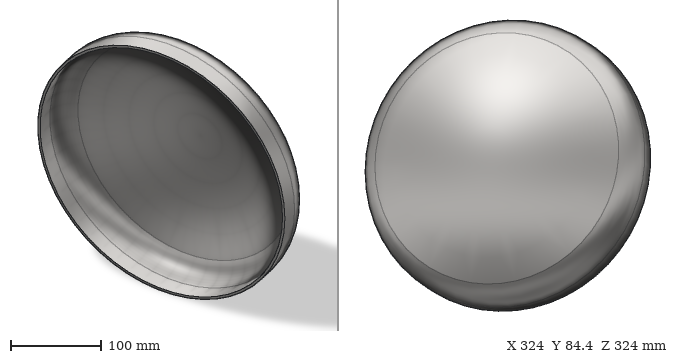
import cadquery as cq
import math

outer_diameter = 324.0
inner_diameter = 317.7
skirt_height = 20.0
crown_inner_radius = outer_diameter
knuckle_inner_radius = 0.1 * outer_diameter

outer_radius = outer_diameter / 2
inner_radius = inner_diameter / 2
wall = outer_radius - inner_radius

knuckle_center_x = inner_radius - knuckle_inner_radius
center_distance = crown_inner_radius - knuckle_inner_radius
crown_half_angle = math.asin(knuckle_center_x / center_distance)
crown_center_y = skirt_height - center_distance * math.cos(crown_half_angle)
knuckle_mid_angle = crown_half_angle + (math.pi / 2 - crown_half_angle) / 2


def crown_point(offset, angle):
    """Point on the crown arc, offset outward from the inside face; angle from the axis."""
    radius = crown_inner_radius + offset
    return (radius * math.sin(angle), crown_center_y + radius * math.cos(angle))


def knuckle_point(offset, angle):
    """Point on the knuckle arc, offset outward from the inside face; angle from the axis."""
    radius = knuckle_inner_radius + offset
    return (knuckle_center_x + radius * math.sin(angle), skirt_height + radius * math.cos(angle))


half_section = (
    cq.Workplane("XY")
    .moveTo(inner_radius, 0)
    .lineTo(outer_radius, 0)
    .lineTo(outer_radius, skirt_height)
    .threePointArc(knuckle_point(wall, knuckle_mid_angle), crown_point(wall, crown_half_angle))
    .threePointArc(crown_point(wall, crown_half_angle / 2), crown_point(wall, 0))
    .lineTo(*crown_point(0, 0))
    .threePointArc(crown_point(0, crown_half_angle / 2), crown_point(0, crown_half_angle))
    .threePointArc(knuckle_point(0, knuckle_mid_angle), (inner_radius, skirt_height))
    .close()
)

result = half_section.revolve(360, (0, 0, 0), (0, 1, 0))